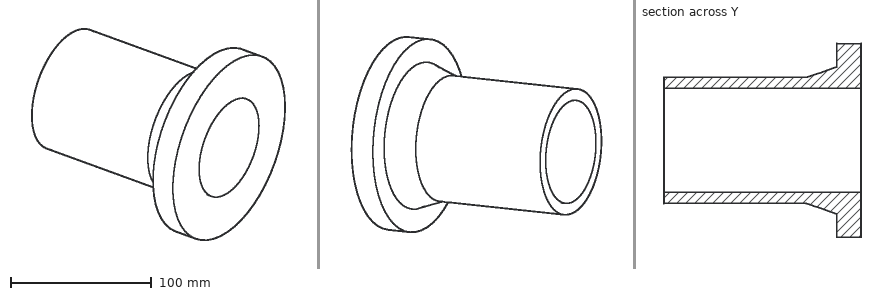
import cadquery as cq

total_length = 140.0
flange_thickness = 17.4
cone_length = 21.5
bore_diameter = 73.6
pipe_diameter = 90.0
cone_end_diameter = 105.0
flange_diameter = 138.0

flange_start = total_length - flange_thickness
cone_start = flange_start - cone_length

half_section = (
    cq.Workplane("XY")
    .moveTo(0, bore_diameter / 2)
    .lineTo(0, pipe_diameter / 2)
    .lineTo(cone_start, pipe_diameter / 2)
    .lineTo(flange_start, cone_end_diameter / 2)
    .lineTo(flange_start, flange_diameter / 2)
    .lineTo(total_length, flange_diameter / 2)
    .lineTo(total_length, bore_diameter / 2)
    .close()
)

result = half_section.revolve(360, (0, 0, 0), (1, 0, 0))